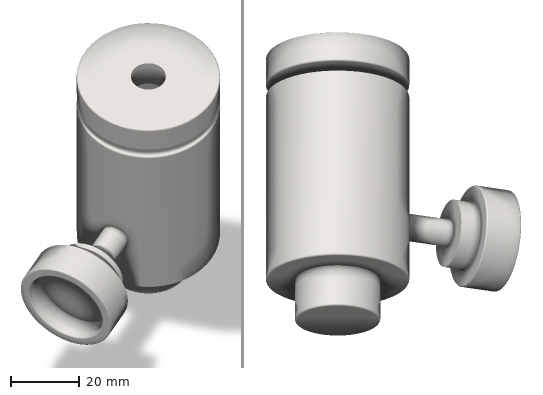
import cadquery as cq

BODY_DIAMETER = 42.0
OVERALL_DEPTH = 73.0
EDGE_RADIUS = 0.5

FOOT_DIAMETER = 25.0
FOOT_HEIGHT = 12.5
HOUSING_HEIGHT = 58.0
NECK_DIAMETER = 24.0
NECK_HEIGHT = 3.0
CAP_HEIGHT = 9.0
CAP_BORE_DIAMETER = 10.2

SCREW_DIAMETER = 8.0
SCREW_INSERTION = 10.0
SCREW_HEIGHT_ABOVE_FOOT = 20.0
HUB_DIAMETER = 20.0
HUB_LENGTH = 6.0
KNOB_DIAMETER = 30.0
KNOB_LENGTH = 11.0
KNOB_RECESS_DIAMETER = 24.0
KNOB_RECESS_DEPTH = 7.0

KNOB_REACH = OVERALL_DEPTH - BODY_DIAMETER / 2
NECK_BASE_Z = FOOT_HEIGHT + HOUSING_HEIGHT
CAP_BASE_Z = NECK_BASE_Z + NECK_HEIGHT
SCREW_Z = FOOT_HEIGHT + SCREW_HEIGHT_ABOVE_FOOT
SCREW_TIP_Y = SCREW_INSERTION - BODY_DIAMETER / 2
KNOB_BACK_Y = KNOB_LENGTH - KNOB_REACH
HUB_BACK_Y = KNOB_BACK_Y + HUB_LENGTH


def upright_cylinder(diameter, height, base_z):
    """Cylinder on the Z axis, rising from base_z."""
    return cq.Workplane("XY", origin=(0, 0, base_z)).circle(diameter / 2).extrude(height)


def outward_cylinder(diameter, length, start_y):
    """Cylinder on the screw axis, running toward -Y from start_y."""
    return cq.Workplane("XZ", origin=(0, start_y, SCREW_Z)).circle(diameter / 2).extrude(length)


def make_foot():
    foot = upright_cylinder(FOOT_DIAMETER, FOOT_HEIGHT, 0)
    return foot.faces("<Z").edges().fillet(EDGE_RADIUS)


def make_screw():
    """Plain shank from inside the housing to the back of the knob hub."""
    return outward_cylinder(SCREW_DIAMETER, SCREW_TIP_Y - HUB_BACK_Y, SCREW_TIP_Y)


def make_housing():
    """Rounded cylinder with a blind hole matching the screw."""
    housing = upright_cylinder(BODY_DIAMETER, HOUSING_HEIGHT, FOOT_HEIGHT)
    housing = housing.faces("<Z or >Z").edges().fillet(EDGE_RADIUS)
    return housing.cut(make_screw())


def make_neck():
    return upright_cylinder(NECK_DIAMETER, NECK_HEIGHT, NECK_BASE_Z)


def make_cap():
    """Rounded disc with a bore down to the top of the neck."""
    cap = upright_cylinder(BODY_DIAMETER, CAP_HEIGHT, CAP_BASE_Z)
    cap = cap.faces("<Z or >Z").edges().fillet(EDGE_RADIUS)
    return cap.cut(upright_cylinder(CAP_BORE_DIAMETER, CAP_HEIGHT, CAP_BASE_Z))


def make_knob():
    """Cup open toward -Y with a hub behind it; its rims and hub corner are rounded."""
    knob = outward_cylinder(KNOB_DIAMETER, KNOB_LENGTH, KNOB_BACK_Y)
    recess_floor_y = KNOB_RECESS_DEPTH - KNOB_REACH
    knob = knob.cut(outward_cylinder(KNOB_RECESS_DIAMETER, KNOB_RECESS_DEPTH, recess_floor_y))
    knob = knob.union(outward_cylinder(HUB_DIAMETER, HUB_LENGTH, HUB_BACK_Y))
    front_rims = knob.faces("<Y").edges().vals()
    step_edges = knob.faces(cq.selectors.NearestToPointSelector((0, KNOB_BACK_Y, SCREW_Z))).edges().vals()
    return knob.newObject(front_rims + step_edges).fillet(EDGE_RADIUS)


foot = make_foot()
housing = make_housing()
neck = make_neck()
cap = make_cap()
screw = make_screw()
knob = make_knob()

result = cq.Compound.makeCompound(
    [foot.val(), housing.val(), neck.val(), cap.val(), screw.val(), knob.val()]
)